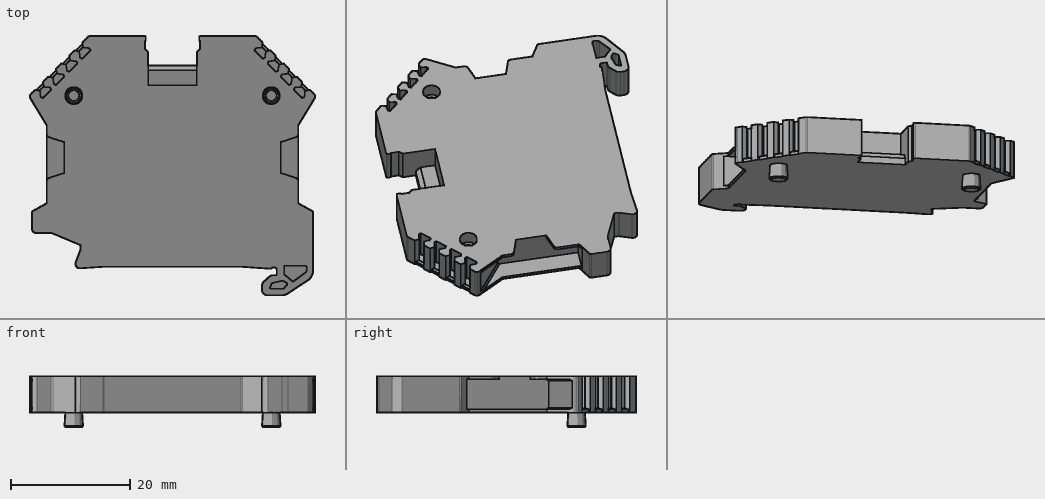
import cadquery as cq
import math

body_height = 6.12
total_height = 8.6
skin = 0.55
half_width = 23.92
side_x = 21.1
foot_x = 23.6
top_y = 43.5
base_y = 4.8
base_half_width = 11.6
base_round = 2.85

shoulder_corner_x = 14.0
shoulder_sum = shoulder_corner_x + top_y
shoulder_tip_y = shoulder_sum - half_width
shoulder_round = 0.57
tooth_pitch = 3.1
groove_count = 4
first_groove_x = 15.8
mouth_half, neck_half, cell_half, cell_base_half = 0.9, 0.5, 1.1, 1.0
neck_depth, cell_depth, groove_depth = 0.7, 1.5, 1.9
sill_setback = 0.2
sill_run, sill_rise = 0.45, 0.2

gap_x = 4.05
gap_floor_y = 35.25
ledge_y = 38.55
ledge_height = 1.9
ledge_chamfer = 0.8

pocket_x = 18.15
pocket_bottom_y = 15.05
pocket_ramp_y = 28.8
pocket_rim_x, pocket_rim_y = 23.7, 32.8
ramp_chamfer = 0.3
notch_centre_y = 23.1
notch_back_half, notch_mouth_half = 2.6, 3.55
notch_round = 0.65

peg_x, peg_y = 16.55, 33.5
peg_base_radius, peg_tip_radius = 1.45, 1.6
peg_chamfer = 0.25
socket_top_radius, socket_low_radius, socket_floor_radius = 1.45, 1.25, 0.9
socket_cone = 0.35
peg_length = total_height - body_height


def rounded_outline(corners):
    """Closed wire through (x, y, radius) corners; a zero radius keeps the corner sharp."""
    count = len(corners)
    wire = None
    for i, (x, y, radius) in enumerate(corners):
        ends = []
        for nx, ny, _ in (corners[i - 1], corners[(i + 1) % count]):
            length = math.hypot(nx - x, ny - y)
            ends.append(((nx - x) / length, (ny - y) / length))
        (ax, ay), (bx, by) = ends
        half_angle = math.acos(ax * bx + ay * by) / 2
        setback = radius / math.tan(half_angle)
        start = (x + ax * setback, y + ay * setback)
        wire = wire.lineTo(*start) if wire else cq.Workplane("XY").moveTo(*start)
        if radius:
            reach = (radius / math.sin(half_angle) - radius) / math.hypot(ax + bx, ay + by)
            middle = (x + (ax + bx) * reach, y + (ay + by) * reach)
            wire = wire.threePointArc(middle, (x + bx * setback, y + by * setback))
    return wire.close()


def prism(corners, bottom, top):
    return rounded_outline(corners).extrude(top - bottom).translate((0, 0, bottom))


def sharp(points):
    return [(x, y, 0) for x, y in points]


def both_sides(solid):
    return solid.union(solid.mirror("YZ"))


def body():
    upper = [
        (gap_x, gap_floor_y, 0),
        (gap_x, 40.75, 0),
        (4.6, 41.35, 0),
        (4.6, 42.65, 0),
        (4.45, 42.8, 0),
        (4.45, top_y, 0.25),
        (shoulder_corner_x, top_y, 0.4),
        (half_width, shoulder_tip_y, shoulder_round),
        (half_width, shoulder_tip_y - 0.45, shoulder_round),
        (side_x, 28.5, 0),
        (side_x, 15.45, 0),
        (foot_x, 14.05, 0.4),
    ]
    hook = [
        (foot_x, 3.1, 2.0),
        (18.85, 0, 1.9),
        (15.0, 0, 0.95),
        (15.0, 2.0, 0.95),
        (16.45, 3.4, 0.95),
        (17.45, 3.4, 0.15),
        (17.45, 4.65, 0.35),
        (16.7, 4.65, 0),
        (16.45, 4.45, 0),
        (base_half_width, base_y, base_round),
    ]
    left_foot = [
        (-base_half_width, base_y, base_round),
        (-16.65, 4.45, 0.75),
        (-15.45, 7.65, 0.4),
        (-15.45, 8.4, 0),
        (-20.25, 10.45, 0.7),
        (-foot_x, 10.45, 0.8),
    ]
    mirrored_upper = [(-x, y, radius) for x, y, radius in reversed(upper)]
    return prism(upper + hook + left_foot + mirrored_upper, 0, body_height)


def gap_ledge():
    chamfer_y = ledge_y - ledge_chamfer
    side = [
        (gap_floor_y - 0.5, 0),
        (ledge_y, 0),
        (ledge_y, ledge_height - ledge_chamfer),
        (chamfer_y, ledge_height),
        (gap_floor_y - 0.5, ledge_height),
    ]
    return cq.Workplane("YZ").polyline(side).close().extrude(gap_x, both=True)


def shoulder_grooves():
    """Dovetail grooves across the right shoulder, open at the top, with a thin floor."""
    profile = [
        (mouth_half, 0),
        (neck_half, neck_depth),
        (cell_half, cell_depth),
        (cell_base_half, groove_depth),
    ]
    profile += [(-along, depth) for along, depth in reversed(profile)]
    outline = sharp((along, -depth) for along, depth in profile)
    sill_side = [
        (-sill_setback, 0),
        (-sill_setback, skin),
        (-sill_setback - sill_run, skin + sill_rise),
        (-groove_depth, skin + sill_rise),
        (-groove_depth, 0),
    ]
    sill = cq.Workplane("YZ").polyline(sill_side).close().extrude(cell_half, both=True)
    groove = prism(outline, 0, body_height).cut(sill).rotate((0, 0, 0), (0, 0, 1), -45)
    grooves = cq.Workplane("XY")
    for i in range(groove_count):
        x = first_groove_x + i * tooth_pitch * math.cos(math.pi / 4)
        grooves = grooves.add(groove.translate((x, shoulder_sum - x, 0)))
    return grooves.combine()


def side_pocket():
    """Hollow in the right side, plus the notch through its upper skin."""
    outside_x = half_width + 0.5
    hollow = sharp([
        (pocket_x, pocket_bottom_y),
        (outside_x, pocket_bottom_y),
        (outside_x, pocket_rim_y),
        (pocket_rim_x, pocket_rim_y),
        (pocket_x, pocket_ramp_y),
    ])
    notch_half = [
        (pocket_x, notch_back_half, 0),
        (side_x, notch_mouth_half, notch_round),
        (side_x, notch_mouth_half + notch_round, 0),
        (outside_x, notch_mouth_half + notch_round, 0),
    ]
    notch = [(x, notch_centre_y + dy, radius) for x, dy, radius in notch_half]
    notch += [(x, notch_centre_y - dy, radius) for x, dy, radius in reversed(notch_half)]
    pocket = prism(hollow, skin, body_height - skin)
    ramp_middle = ((pocket_x + pocket_rim_x) / 2, (pocket_ramp_y + pocket_rim_y) / 2)
    for z in (skin, body_height - skin):
        ramp_edge = cq.NearestToPointSelector((*ramp_middle, z))
        pocket = pocket.edges(ramp_edge).chamfer(ramp_chamfer)
    return pocket.union(prism(notch, body_height / 2, body_height))


def peg():
    profile = [
        (0, 0.5),
        (peg_base_radius, 0.5),
        (peg_base_radius, 0),
        (peg_tip_radius, peg_chamfer - peg_length),
        (peg_tip_radius - peg_chamfer, -peg_length),
        (0, -peg_length),
    ]
    return revolved(profile)


def socket():
    floor_z = body_height - peg_length
    profile = [
        (0, body_height),
        (socket_top_radius, body_height),
        (socket_low_radius, floor_z + socket_cone),
        (socket_floor_radius, floor_z),
        (0, floor_z),
    ]
    return revolved(profile)


def revolved(profile):
    turned = cq.Workplane("XZ").polyline(profile).close().revolve(360, (0, 0), (0, 1))
    return turned.translate((peg_x, peg_y, 0))


def hook_openings():
    upper = [
        (18.75, 5.0, 0),
        (22.5, 5.0, 0.25),
        (22.5, 3.95, 0.5),
        (20.2, 2.3, 0),
        (18.75, 3.5, 0),
    ]
    lower = [
        (16.25, 1.15, 0.15),
        (18.65, 1.15, 0),
        (19.35, 1.95, 0.25),
        (18.45, 2.5, 0.15),
        (16.65, 2.05, 0.15),
    ]
    return prism(upper, skin, body_height).union(prism(lower, skin, body_height))


result = (
    body()
    .union(gap_ledge())
    .cut(both_sides(shoulder_grooves()))
    .cut(both_sides(side_pocket()))
    .cut(hook_openings())
    .cut(both_sides(socket()))
    .union(both_sides(peg()))
)